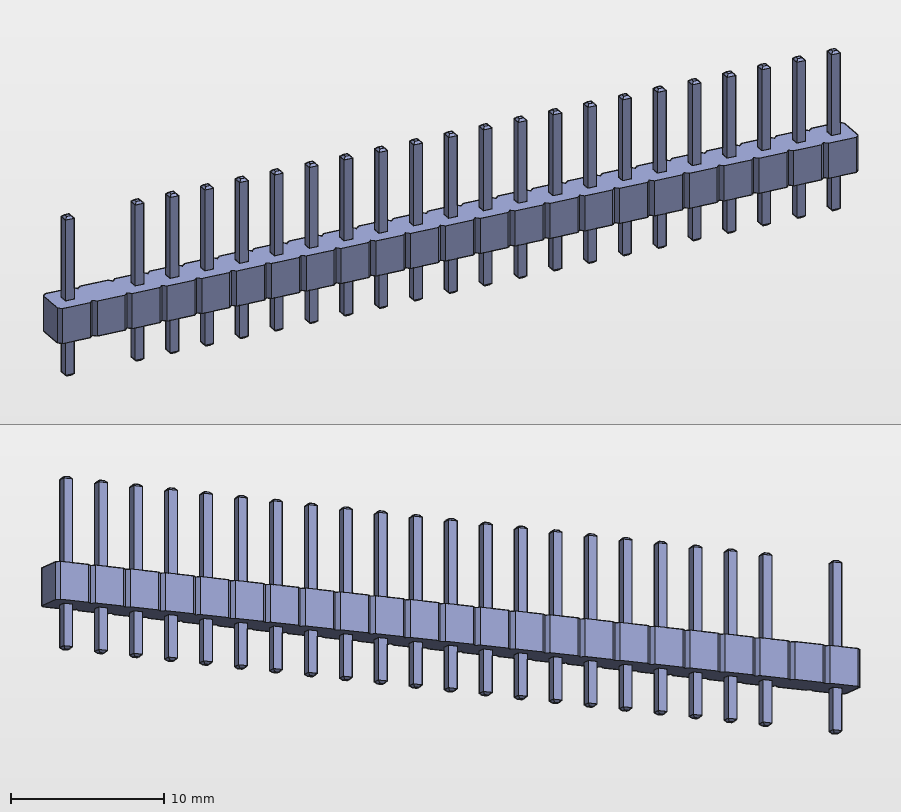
import cadquery as cq

pitch = 2.54
positions = 23
empty_positions = (1,)

body_height = 2.54
body_chamfer = pitch / 10

pin_width = 0.64
pin_tip_chamfer = pin_width / 4
pin_above_body = 6.0
pin_below_body = 3.0
pin_length = pin_below_body + body_height + pin_above_body


def position_y(index):
    """Y coordinate of the centre of a pin position."""
    return (index - (positions - 1) / 2) * pitch


def body_outline():
    """Row outline: a chain of squares with chamfered corners, which form V notches."""
    half = pitch / 2
    flat = half - body_chamfer
    right_side = []
    for index in range(positions):
        y = position_y(index)
        right_side += [(flat, y - half), (half, y - flat), (half, y + flat)]
    right_side.append((flat, position_y(positions - 1) + half))
    left_side = [(-x, y) for x, y in reversed(right_side)]
    return right_side + left_side


def make_body():
    return cq.Workplane("XY").polyline(body_outline()).close().extrude(body_height)


def make_pin(y):
    """Square pin through the body, with all edges of both ends chamfered."""
    return (
        cq.Workplane("XY", origin=(0, y, -pin_below_body))
        .rect(pin_width, pin_width)
        .extrude(pin_length)
        .faces("<Z or >Z")
        .edges()
        .chamfer(pin_tip_chamfer)
    )


result = make_body()
for pin_index in range(positions):
    if pin_index not in empty_positions:
        result = result.union(make_pin(position_y(pin_index)))